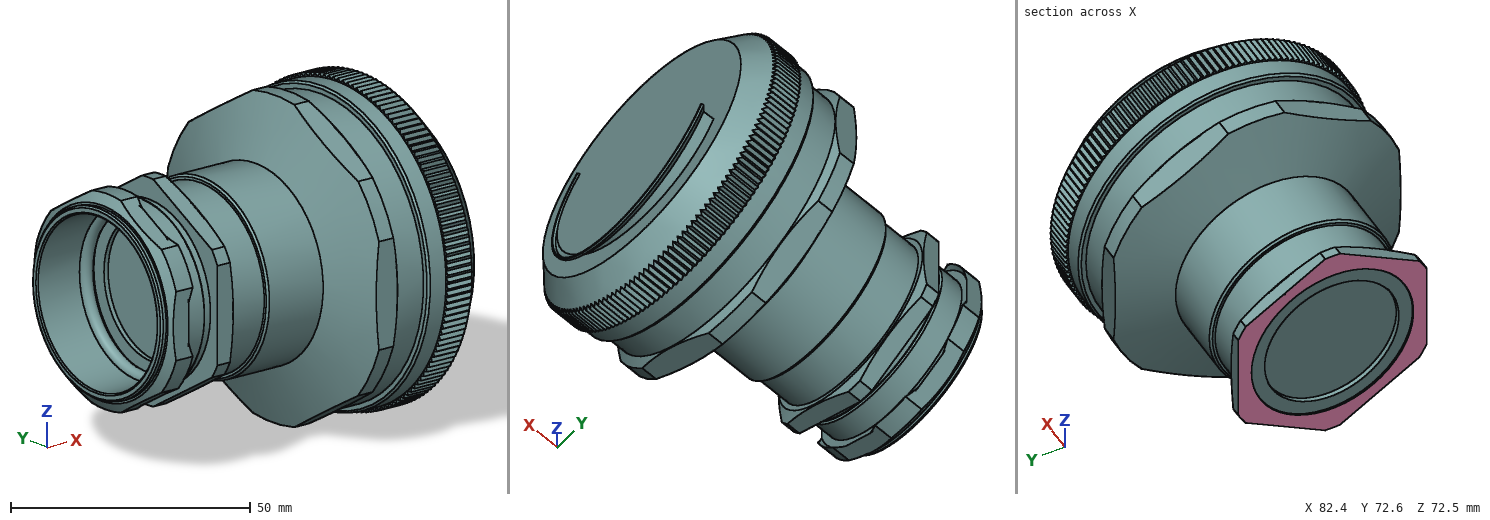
import cadquery as cq
import math


entry_diameter = 42.0
entry_chamfer = 0.4
groove_diameter = 40.6
groove_start = 12.1
small_hex_flats = 45.0

entry_nut_start = 1.2
entry_nut_face_diameter = 43.0
entry_nut_corner_start = 2.6
entry_nut_back = 6.1
entry_nut_corner_end = 7.25
entry_nut_back_diameter = 45.8
entry_nut_corner_diameter = 47.5

lock_nut_start = 14.0
lock_nut_corner_end = 17.5
lock_nut_end = 18.5
lock_nut_corner_diameter = 50.0
lock_nut_back_diameter = 44.5

collar_start = 28.2
collar_end = 43.45
collar_diameter = 44.2
collar_chamfer = 0.5
large_hex_flats = 68.0
large_hex_corner_diameter = 72.05
large_hex_corner_start = 48.6
large_hex_corner_end = 52.6
large_hex_end = 53.8

barrel_diameter = 67.8
ring_start = 61.0
ring_diameter = 71.0
ring_chamfer = 0.5
knurl_start = 65.8
knurl_end = 72.2
knurl_crest_diameter = 72.55
knurl_root_diameter = 71.0
knurl_teeth = 150
cap_end = 77.65
cap_end_diameter = 61.5

bore_diameter = 38.5
bore_mouth_chamfer = 0.3
seal_start = 11.7
seal_lip_diameter = 35.3
recess_end = 15.7
floor_diameter = 32.0
floor_depth = 16.8

flange_wall_outer_diameter = 50.0
flange_wall_inner_diameter = 49.2
flange_lip_diameter = 54.4
flange_lip_flare = 1.3
flange_lip_edge = 0.6
flange_rim_thickness = 0.3
flange_center_x = 80.2
flange_root = 6.6
flange_tilt = 4.6
flange_rise_angle = -32.0
flange_end_angles = (-29.0, 136.5)


def turned(points):
    """Solid of revolution about X from (x, diameter) points; closed along the axis."""
    outline = [(points[0][0], 0)]
    outline += [(x, diameter / 2) for x, diameter in points]
    outline += [(points[-1][0], 0)]
    return cq.Workplane("XY").polyline(outline).close().revolve(360, (0, 0, 0), (1, 0, 0))


def hexagon(across_flats, start, end):
    """Hexagonal bar along X with two flats facing +Y and -Y."""
    across_corners = across_flats / math.cos(math.pi / 6)
    bar = cq.Workplane("YZ", origin=(start, 0, 0)).polygon(6, across_corners).extrude(end - start)
    return bar.rotate((0, 0, 0), (1, 0, 0), 30)


def core():
    """Round sleeves, from the entry face to the stop ring."""
    return turned([
        (0, entry_diameter - 2 * entry_chamfer),
        (entry_chamfer, entry_diameter),
        (groove_start - entry_chamfer, entry_diameter),
        (groove_start, entry_diameter - 2 * entry_chamfer),
        (groove_start, groove_diameter),
        (lock_nut_start, groove_diameter),
        (lock_nut_start, entry_diameter),
        (collar_start, entry_diameter),
        (collar_start, collar_diameter - 2 * collar_chamfer),
        (collar_start + collar_chamfer, collar_diameter),
        (collar_end, collar_diameter),
        (large_hex_end, collar_diameter),
        (large_hex_end, barrel_diameter),
        (ring_start, barrel_diameter),
        (ring_start, ring_diameter - 2 * ring_chamfer),
        (ring_start + ring_chamfer, ring_diameter),
        (knurl_start, ring_diameter),
    ])


def entry_nut():
    """Hexagon with a coned front and corners that overhang a flat back face."""
    envelope = turned([
        (entry_nut_start, entry_nut_face_diameter),
        (entry_nut_corner_start, entry_nut_corner_diameter),
        (entry_nut_corner_end, entry_nut_corner_diameter),
        (entry_nut_back, entry_nut_back_diameter),
    ])
    return envelope.intersect(hexagon(small_hex_flats, entry_nut_start, entry_nut_corner_end))


def lock_nut():
    """Hexagon with a plain front face and a coned back."""
    envelope = turned([
        (lock_nut_start, lock_nut_corner_diameter),
        (lock_nut_corner_end, lock_nut_corner_diameter),
        (lock_nut_end, lock_nut_back_diameter),
    ])
    return envelope.intersect(hexagon(small_hex_flats, lock_nut_start, lock_nut_end))


def large_hexagon():
    """Conical shoulder running into the large hexagon, coned again at its back."""
    envelope = turned([
        (collar_end, collar_diameter),
        (large_hex_corner_start, large_hex_corner_diameter),
        (large_hex_corner_end, large_hex_corner_diameter),
        (large_hex_end, barrel_diameter),
    ])
    return envelope.intersect(hexagon(large_hex_flats, collar_end, large_hex_end))


def knurled_cap():
    """Cap with V-shaped teeth that run out into its end cone."""
    half_pitch = math.pi / knurl_teeth
    outline = []
    for i in range(2 * knurl_teeth):
        radius = (knurl_root_diameter if i % 2 else knurl_crest_diameter) / 2
        outline.append((radius * math.cos(i * half_pitch), radius * math.sin(i * half_pitch)))
    toothed_bar = cq.Workplane("YZ", origin=(knurl_start, 0, 0)).polyline(outline).close()
    toothed_bar = toothed_bar.extrude(cap_end - knurl_start)
    envelope = turned([
        (knurl_start, knurl_crest_diameter),
        (knurl_end, knurl_crest_diameter),
        (cap_end, cap_end_diameter),
    ])
    return toothed_bar.intersect(envelope)


def entry_bore():
    """Blind bore with a half-round seal lip, a recess behind it and a smaller floor step."""
    bore_radius = bore_diameter / 2
    lip_radius = seal_lip_diameter / 2
    lip_round = bore_radius - lip_radius
    floor_radius = floor_diameter / 2
    return (
        cq.Workplane("XY")
        .moveTo(0, 0)
        .lineTo(0, bore_radius + bore_mouth_chamfer)
        .lineTo(bore_mouth_chamfer, bore_radius)
        .lineTo(seal_start, bore_radius)
        .threePointArc(
            (seal_start + lip_round, lip_radius),
            (seal_start + 2 * lip_round, bore_radius),
        )
        .lineTo(recess_end, bore_radius)
        .lineTo(recess_end, floor_radius)
        .lineTo(floor_depth, floor_radius)
        .lineTo(floor_depth, 0)
        .close()
        .revolve(360, (0, 0, 0), (1, 0, 0))
    )


def tilted_flange():
    """Thin wall with a flared lip, tilted on the cap and cut off along a chord."""
    inner = flange_wall_inner_diameter / 2
    outer = flange_wall_outer_diameter / 2
    lip = flange_lip_diameter / 2
    ring = (
        cq.Workplane("XY")
        .polyline([
            (-flange_root, inner),
            (-flange_root, outer),
            (-flange_lip_edge - flange_lip_flare, outer),
            (-flange_lip_edge, lip),
            (0, lip),
            (0, lip - flange_rim_thickness),
            (-flange_lip_edge, lip - flange_lip_edge),
            (-flange_lip_edge - flange_lip_flare, inner),
        ])
        .close()
        .revolve(360, (0, 0, 0), (1, 0, 0))
    )
    ring = ring.rotate((0, 0, 0), (0, 0, 1), -flange_tilt)
    ring = ring.rotate((0, 0, 0), (1, 0, 0), flange_rise_angle)
    first_end, last_end = flange_end_angles
    chord_direction = (first_end + last_end) / 2
    chord_offset = lip * math.cos(math.radians(last_end - first_end) / 2)
    block = 2 * flange_lip_diameter
    removed = cq.Workplane("XY").box(block, block, block).translate((0, chord_offset + block / 2, 0))
    removed = removed.rotate((0, 0, 0), (1, 0, 0), chord_direction)
    return ring.cut(removed).translate((flange_center_x, 0, 0))


result = core()
for section in (entry_nut(), lock_nut(), large_hexagon(), knurled_cap(), tilted_flange()):
    result = result.union(section)
result = result.cut(entry_bore())